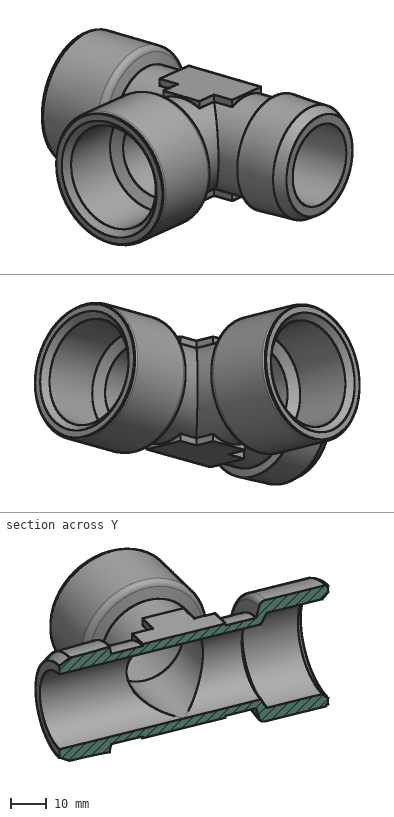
import cadquery as cq
import math

run_length = 84.0
socket_radius = 19.5
socket_reach = 45.0
spigot_reach = run_length - socket_reach
tube_radius = 14.5
bore_radius = 11.9

lip_radius = 19.0
lip_length = 0.5
rim_fillet = socket_radius - lip_radius
shoulder_position = 21.25
shoulder_angle = 15.0
shoulder_fillet = 2.1
socket_bore_radius = 15.1
socket_bore_depth = 19.15
mouth_radius = 17.0
bore_cone_length = 1.85

spigot_length = 16.3
spigot_shoulder = 0.5
spigot_radius = 17.0
spigot_taper = 1 / 32
spigot_chamfer_length = 3.3
spigot_tip_radius = 14.7

pad_half_length = 12.9
pad_half_width = pad_half_length / 2
pad_height = 15.1


def revolve_about_x(profile):
    return profile.close().revolve(360, (0, 0, 0), (1, 0, 0))


def socket_arm():
    """Solid socket arm pointing along -X, starting at the tee centre."""
    rim_x = -socket_reach + lip_length
    shoulder_x = -socket_reach + shoulder_position
    shoulder_drop = socket_radius - tube_radius
    tube_x = shoulder_x + shoulder_drop * math.tan(math.radians(shoulder_angle))

    turn = math.radians(90 - shoulder_angle)
    tangent_length = shoulder_fillet * math.tan(turn / 2)
    arc_start_x = shoulder_x - tangent_length
    arc_centre_r = socket_radius - shoulder_fillet

    def arc_point(angle):
        return (arc_start_x + shoulder_fillet * math.sin(angle),
                arc_centre_r + shoulder_fillet * math.cos(angle))

    return revolve_about_x(
        cq.Workplane("XY")
        .moveTo(0, 0)
        .lineTo(-socket_reach, 0)
        .lineTo(-socket_reach, lip_radius)
        .lineTo(rim_x, lip_radius)
        .radiusArc((rim_x + rim_fillet, socket_radius), rim_fillet)
        .lineTo(arc_start_x, socket_radius)
        .threePointArc(arc_point(turn / 2), arc_point(turn))
        .lineTo(tube_x, tube_radius)
        .lineTo(0, tube_radius)
    )


def socket_cavity():
    """Chamfered mouth, straight bore and conical bottom for a socket along -X."""
    mouth_depth = mouth_radius - socket_bore_radius
    bore_end_x = -socket_reach + socket_bore_depth
    return revolve_about_x(
        cq.Workplane("XY")
        .moveTo(0, 0)
        .lineTo(-socket_reach, 0)
        .lineTo(-socket_reach, mouth_radius)
        .lineTo(-socket_reach + mouth_depth, socket_bore_radius)
        .lineTo(bore_end_x, socket_bore_radius)
        .lineTo(bore_end_x + bore_cone_length, bore_radius)
        .lineTo(0, bore_radius)
    )


def spigot_arm():
    """Solid arm along +X ending in the tapered, chamfered spigot."""
    start_x = spigot_reach - spigot_length
    taper_x = start_x + spigot_shoulder
    chamfer_x = spigot_reach - spigot_chamfer_length
    taper_end_radius = spigot_radius - spigot_taper * (chamfer_x - taper_x)
    return revolve_about_x(
        cq.Workplane("XY")
        .moveTo(0, 0)
        .lineTo(0, tube_radius)
        .lineTo(start_x, tube_radius)
        .lineTo(taper_x, spigot_radius)
        .lineTo(chamfer_x, taper_end_radius)
        .lineTo(spigot_reach, spigot_tip_radius)
        .lineTo(spigot_reach, 0)
    )


def pads():
    """T-shaped block standing slightly proud of the tube at both ends in Z."""
    height = 2 * pad_height
    crossbar = cq.Workplane("XY").box(2 * pad_half_length, 2 * pad_half_width, height)
    stem = (
        cq.Workplane("XY")
        .box(2 * pad_half_width, pad_half_length, height)
        .translate((0, -pad_half_length / 2, 0))
    )
    return crossbar.union(stem)


def turn_to_branch(shape):
    """Swing a shape along -X round to the branch direction -Y."""
    return shape.rotate((0, 0, 0), (0, 0, 1), 90)


body = (
    socket_arm()
    .union(spigot_arm())
    .union(turn_to_branch(socket_arm()))
    .union(pads())
)
spigot_bore = cq.Workplane("YZ").circle(bore_radius).extrude(spigot_reach)
result = (
    body
    .cut(socket_cavity())
    .cut(turn_to_branch(socket_cavity()))
    .cut(spigot_bore)
)